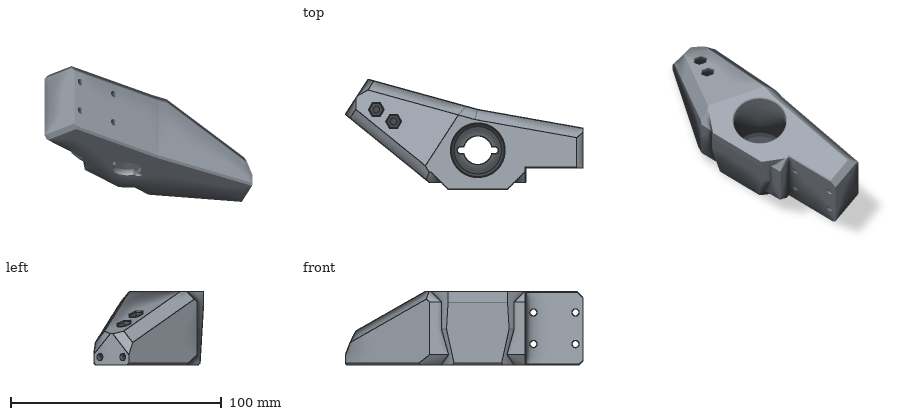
import cadquery as cq
import math


height = 35.0
right_x = 50.0
back_right_y = 10.5
back_knee = (-0.2, 19.4)
shoulder_half_width = 22.9
shoulder_y = -15.3
bevel = 5.0
bottom_chamfer = 1.0
small_chamfer = 0.5
right_top_chamfer = 3.0
right_bottom_chamfer = 2.0

arm_swing = math.radians(33)
arm_tip = (-62.9, 17.0)
arm_end_width = 19.9
arm_slope = math.radians(24)
slope_length = 45.1
end_chamfer = 3.0

prow_y = -18.5
prow_half_width = 14.1
prow_upright_height = 5.2
prow_front_draft = math.radians(3.4)
prow_waist_z = 17.2
prow_side_draft = math.radians(11.2)

pad_y = -8.5
pad_hole_spacing_x = 20.0
pad_hole_spacing_z = 15.0
pad_hole_margin = 3.6

bore_diameter = 25.0
bore_floor_diameter = 22.5
bore_floor_z = 3.0
keyhole_diameter = 13.5
keyhole_length = 19.3
keyhole_ear_width = 3.3

screw_diameter = 3.3
end_hole_spacing = 12.9
end_hole_z = 3.8
end_hole_depth = 10.0
nut_across_flats = 5.6
nut_places = [(-48.2, 19.3), (-40.0, 13.7)]
nut_floor_z = 11.3
nut_screw_bottom_z = 2.3

beyond = 338.6
oversize_depth = 45.1

up = cq.Vector(0, 0, 1)
down = cq.Vector(0, 0, -1)


def trim(body, planes):
    """Remove everything on the outer side of each plane, given as a point and a normal."""
    for point, normal in planes:
        cutter = cq.Workplane(cq.Plane(origin=point, normal=normal)).rect(beyond, beyond)
        body = body.cut(cutter.extrude(beyond))
    return body


def bevel_plane(point, first_normal, second_normal, leg):
    """Plane of an equal-legged chamfer on the edge through point where two planes meet."""
    normal = (first_normal + second_normal).normalized()
    half_angle = first_normal.getAngle(normal)
    return point - normal * (leg * math.sin(half_angle)), normal


def side_normal(start, end):
    """Outward normal of the wall that runs clockwise, seen from above, from start to end."""
    return up.cross(end - start).normalized()


arm_axis = cq.Vector(-math.cos(arm_swing), math.sin(arm_swing), 0)
arm_across = cq.Vector(math.sin(arm_swing), math.cos(arm_swing), 0)
tip = cq.Vector(*arm_tip)
end_back = tip + arm_across * arm_end_width
knee = cq.Vector(*back_knee)
back_right = cq.Vector(right_x, back_right_y)
front_left = cq.Vector(-shoulder_half_width, shoulder_y)
top = up * height

forward = cq.Vector(0, -1, 0)
rightward = cq.Vector(1, 0, 0)
arm_front_normal = side_normal(front_left, tip)
arm_back_normal = side_normal(end_back, knee)
block_back_normal = side_normal(knee, back_right)

slope_normal = arm_axis * math.sin(arm_slope) + up * math.cos(arm_slope)
slope_end = up * (height - slope_length * math.tan(arm_slope))


def make_front():
    """Slab with the front, ends and top finished, and its back left oversize."""
    outline = [
        arm_tip,
        (tip + arm_across * oversize_depth).toTuple()[:2],
        (right_x, oversize_depth),
        (right_x, shoulder_y),
        (-shoulder_half_width, shoulder_y),
    ]
    front_bevel = bevel_plane(tip + slope_end, arm_front_normal, slope_normal, bevel)
    back_bevel = bevel_plane(end_back + slope_end, arm_back_normal, slope_normal, bevel)
    planes = [
        (tip + slope_end, slope_normal),
        front_bevel,
        back_bevel,
        bevel_plane(front_left + top, forward, up, bevel),
        bevel_plane(front_left, forward, down, bevel),
        bevel_plane(front_left, arm_front_normal, down, bottom_chamfer),
        bevel_plane(back_right + top, rightward, up, right_top_chamfer),
        bevel_plane(back_right, rightward, down, right_bottom_chamfer),
    ]
    for point, normal in (front_bevel, back_bevel):
        along_bevel = arm_axis - normal * arm_axis.dot(normal)
        distance = (tip - point).dot(arm_axis) / along_bevel.dot(arm_axis)
        planes.append(bevel_plane(point + along_bevel * distance, arm_axis, normal, end_chamfer))
    return trim(cq.Workplane("XY").polyline(outline).close().extrude(height), planes)


def make_body():
    """Join two copies of the slab, each cut to one of the back walls that meet at the knee."""
    front = make_front()
    halves = []
    for normal in (arm_back_normal, block_back_normal):
        halves.append(trim(front, [
            (knee, normal),
            bevel_plane(knee + top, normal, up, bevel),
            bevel_plane(knee, normal, down, bottom_chamfer),
        ]))
    return halves[0].union(halves[1])


def step_back_pad(body):
    """Recess the front beside the shoulder and chamfer the outer edges of the recess."""
    recess_size = (right_x - shoulder_half_width, pad_y - shoulder_y, height)
    recess = cq.Workplane("XY").box(*recess_size, centered=False)
    body = body.cut(recess.translate((shoulder_half_width, shoulder_y, 0)))

    step_point = (shoulder_half_width, (pad_y + shoulder_y) / 2, height / 2)
    pad_point = ((shoulder_half_width + right_x) / 2, pad_y, height / 2)
    step_face = body.faces(cq.selectors.NearestToPointSelector(step_point))
    pad_face = body.faces(cq.selectors.NearestToPointSelector(pad_point))
    inner_corner = step_face.edges(">Y").val()
    edges = pad_face.edges("|X").vals()
    edges += [edge for edge in step_face.edges().vals() if not edge.isSame(inner_corner)]
    return body.newObject(edges).chamfer(small_chamfer)


def make_prow():
    """Wedge with a leaning lower front and sides that draw in below the waist."""
    root_y = shoulder_y + bevel
    root_half_width = prow_half_width + root_y - prow_y
    prow = cq.Workplane("XY").polyline([
        (-root_half_width, root_y),
        (root_half_width, root_y),
        (prow_half_width, prow_y),
        (-prow_half_width, prow_y),
    ]).close().extrude(height)

    draft_top_z = height - prow_upright_height
    front_normal = forward * math.cos(prow_front_draft) + down * math.sin(prow_front_draft)
    bottom_edge = cq.Vector(0, prow_y + draft_top_z * math.tan(prow_front_draft), 0)
    planes = [
        (cq.Vector(0, prow_y, draft_top_z), front_normal),
        bevel_plane(bottom_edge, front_normal, down, bottom_chamfer),
    ]
    for side in (-1, 1):
        wall_normal = cq.Vector(side, -1, 0).normalized()
        waist = cq.Vector(side * prow_half_width, prow_y, prow_waist_z)
        side_draft_normal = wall_normal * math.cos(prow_side_draft) + down * math.sin(prow_side_draft)
        planes.append((waist, side_draft_normal))
    return trim(prow, planes)


def make_bore():
    """Bore with a chamfered mouth and a chamfered floor, and a keyhole through the floor."""
    bore_radius = bore_diameter / 2
    floor_radius = bore_floor_diameter / 2
    mouth_radius = bore_radius + small_chamfer
    bore = cq.Workplane("XZ").polyline([
        (0, bore_floor_z),
        (floor_radius, bore_floor_z),
        (bore_radius, bore_floor_z + bore_radius - floor_radius),
        (bore_radius, height - small_chamfer),
        (mouth_radius, height),
        (0, height),
    ]).close().revolve(360, (0, 0), (0, 1))
    keyhole = cq.Workplane("XY").circle(keyhole_diameter / 2).extrude(bore_floor_z)
    ears = cq.Workplane("XY").slot2D(keyhole_length, keyhole_ear_width).extrude(bore_floor_z)
    return bore.union(keyhole).union(ears)


def make_pad_holes():
    """Four screw holes right through from the pad."""
    center_x = right_x - pad_hole_margin - pad_hole_spacing_x / 2
    plane = cq.Plane(origin=(center_x, pad_y, height / 2), normal=(0, -1, 0), xDir=(1, 0, 0))
    return (
        cq.Workplane(plane)
        .rarray(pad_hole_spacing_x, pad_hole_spacing_z, 2, 2)
        .circle(screw_diameter / 2)
        .extrude(-beyond)
    )


def make_end_holes():
    """Two blind screw holes square to the end of the arm."""
    center = tip + arm_across * (arm_end_width / 2) + up * end_hole_z
    plane = cq.Plane(origin=center, xDir=arm_across, normal=arm_axis)
    return (
        cq.Workplane(plane)
        .rarray(end_hole_spacing, 1.1, 2, 1)
        .circle(screw_diameter / 2)
        .extrude(-end_hole_depth)
    )


def cut_nut_pockets(body):
    """Sink hexagonal pockets with chamfered mouths into the slope, each with a screw hole below."""
    across_corners = nut_across_flats / math.cos(math.pi / 6)
    pockets = cq.Workplane("XY", origin=(0, 0, nut_floor_z)).pushPoints(nut_places)
    body = body.cut(pockets.polygon(6, across_corners).extrude(height))

    slope_face = body.faces(cq.selectors.ParallelDirSelector(slope_normal))
    mouth_edges = [edge for wire in slope_face.val().innerWires() for edge in wire.Edges()]
    body = body.newObject(mouth_edges).chamfer(small_chamfer)

    screws = cq.Workplane("XY", origin=(0, 0, nut_screw_bottom_z)).pushPoints(nut_places)
    return body.cut(screws.circle(screw_diameter / 2).extrude(nut_floor_z - nut_screw_bottom_z))


result = cut_nut_pockets(step_back_pad(make_body()))
result = result.union(make_prow())
result = result.cut(make_bore()).cut(make_pad_holes()).cut(make_end_holes())